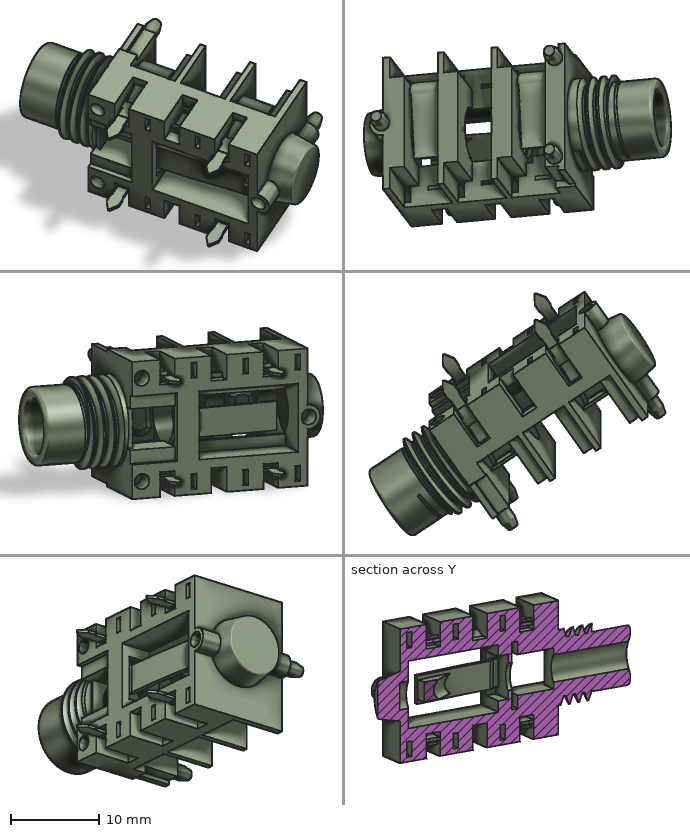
import cadquery as cq
import math


BLOCK_FRONT, BLOCK_REAR = 9.72, 31.05
HALF_DEPTH = 6.35
HALF_HEIGHT = 7.95
BORE_RADIUS = 3.17

BARREL_RADIUS = 4.5
RIM_OUTER_FILLET = 0.45
RIM_INNER_FILLET = 0.5
THREAD_RADIUS = 5.3
THREAD_START = 5.15
THREAD_PITCH = 1.25
THREAD_TURNS = 4.1
GROOVE_START = 3.92
GROOVE_ROOT_RADIUS = 4.45
GROOVE_ROOT_WIDTH = 0.27
GROOVE_MOUTH_RADIUS = THREAD_RADIUS + 0.15
GROOVE_MOUTH_WIDTH = THREAD_PITCH - 0.07

NOSE_REAR = 34.1
NOSE_ROOT_RADIUS, NOSE_TIP_RADIUS = 4.05, 3.55
NOSE_FILLET = 0.25

STATION_PITCH = 6.3
STATIONS = range(3)
GAP_START, GAP_WIDTH = 12.0, 3.95
GAP_FLOOR_Y = -0.1
RIB_STEP_WIDTH = 1.67
RIB_STEP_HALF_HEIGHT = 5.45
FRONT_STEP_Y = 1.65
FRONT_LIP_THICKNESS = 0.75
FRONT_LIP_HALF_HEIGHT = 7.65
FRONT_WALL_HALF_HEIGHT = 7.13

SLIT_START, SLIT_WIDTH = 16.9, 0.6
SLIT_LOW_Z, SLIT_HIGH_Z = 5.55, 7.33

SLOT_CENTRE = 13.98
SLOT_WIDTH = 1.77
MIDDLE_SLOT_WIDTH = 1.88
SLOT_FLOOR_Z = 5.05
SLOT_END_Y = -1.67
RIDGE_FRONT_Y, RIDGE_BACK_Y, RIDGE_FOOT_Y = -4.88, -4.65, -3.68
PLATE_LOW_Z, PLATE_HIGH_Z = 5.63, 6.07

WINDOW_HALF_HEIGHT = 3.95
FRONT_WINDOW_END = 15.2
FRONT_WINDOW_RECESS = 0.6
FRONT_OPENING_HALF_HEIGHT = 2.4
FRONT_WEB_END = 10.4
FRONT_WEB_OUTER_Y, FRONT_WEB_INNER_Y = -4.33, -4.67
REAR_WINDOW_START, REAR_WINDOW_END = 17.85, 29.95
REAR_WINDOW_FLOOR_Y = -2.4
REAR_OPENING_HALF_HEIGHT = 2.63
BAR_THICKNESS = 1.05

PEG_RADIUS, PEG_TIP_RADIUS = 0.9, 0.6
PEG_SHANK_LENGTH, PEG_LENGTH = 1.45, 2.5
FRONT_PEG_X, FRONT_PEG_Z = 10.88, 5.97
REAR_PEG_X = 31.2
BOSS_RADIUS = 1.4
SOCKET_DEPTH = PEG_LENGTH

PIN_LOW_Z, PIN_HIGH_Z = 5.65, 6.0
PIN_ROOT_Y, PIN_TIP_Y = -6.07, -9.75
TERMINAL_NECK_WIDTH = 1.3
PIN_WIDTH = 1.55
PIN_TIP_WIDTH = 0.2
PIN_WAIST_Y, PIN_BULGE_Y, PIN_POINT_Y = -7.45, -7.77, -8.73
TANG_ROOT_Y, TANG_END_Y = -3.82, SLOT_END_Y
TANG_RISE = 0.85
TANG_THICKNESS = 0.27

SPRING_HEAD_WIDTH, SPRING_LEG_WIDTH = GAP_WIDTH - 0.07, 3.58
SPRING_THICKNESS = 0.3
SPRING_SHOULDER_Y = 2.0
SPRING_BEND_RADIUS = 1.98
SPRING_LEG_TOP_Y = SPRING_SHOULDER_Y + SPRING_BEND_RADIUS
SPRING_LEG_TOP_Z = PLATE_HIGH_Z - SPRING_BEND_RADIUS
SPRING_END_Y, SPRING_END_Z = 2.65, -3.2
BUMP_HEIGHT = 0.55
BUMP_Z = -0.4
BUMP_BASE_WIDTH, BUMP_BASE_SIDE, BUMP_BASE_RISE = SPRING_LEG_WIDTH, 3.25, 0.92
BUMP_TOP_WIDTH, BUMP_TOP_SIDE, BUMP_TOP_RISE = 1.65, 2.55, 0.3

LEAF_HALF_HEIGHT = 1.67
LEAF_THICKNESS = 0.55
LEAF_ROOT_X, LEAF_FOLD_X, LEAF_END_X = 16.55, 21.72, 28.1
LEAF_SEAT_LENGTH = 0.68
LEAF_NECK_Y, LEAF_FOLD_Y, LEAF_END_Y = -4.9, -4.77, -4.3
LOBE_HALF_HEIGHT = 1.2
LOBE_START_X, LOBE_CREST_X, LOBE_CREST_Y = 23.2, 27.62, -1.7
LOBE_HOLLOW = 0.35


def box(x_range, y_range, z_range):
    """Axis-aligned block between the given limits."""
    (x0, x1), (y0, y1), (z0, z1) = x_range, y_range, z_range
    return cq.Workplane("XY").box(x1 - x0, y1 - y0, z1 - z0, centered=False).translate((x0, y0, z0))


def slab(x_range, y_range, half_height):
    """Block that is symmetric about z = 0."""
    return box(x_range, y_range, (-half_height, half_height))


def x_cylinder(radius, start, end):
    return cq.Workplane("YZ").workplane(offset=start).circle(radius).extrude(end - start)


def both_heights(shape):
    """The shape together with its mirror image across z = 0."""
    return shape.union(shape.mirror("XY"))


def station_x(first, index):
    return first + index * STATION_PITCH


def thread_groove():
    helix = cq.Wire.makeHelix(THREAD_PITCH, THREAD_PITCH * THREAD_TURNS, GROOVE_ROOT_RADIUS)
    root, mouth = GROOVE_ROOT_WIDTH / 2, GROOVE_MOUTH_WIDTH / 2
    groove = (
        cq.Workplane("XZ")
        .polyline([
            (GROOVE_ROOT_RADIUS, -root),
            (GROOVE_MOUTH_RADIUS, -mouth),
            (GROOVE_MOUTH_RADIUS, mouth),
            (GROOVE_ROOT_RADIUS, root),
        ])
        .close()
        .sweep(cq.Workplane(helix), isFrenet=True)
    )
    return groove.rotate((0, 0, 0), (0, 1, 0), 90).translate((GROOVE_START, 0, 0))


def threaded_barrel():
    barrel = x_cylinder(BARREL_RADIUS, 0, BLOCK_FRONT).faces("<X").edges().fillet(RIM_OUTER_FILLET)
    sleeve = x_cylinder(THREAD_RADIUS, THREAD_START, BLOCK_FRONT)
    return barrel.union(sleeve).cut(thread_groove())


def bore():
    """Plug bore with a rounded mouth."""
    mouth = BORE_RADIUS + RIM_INNER_FILLET
    middle = RIM_INNER_FILLET * (1 - math.sqrt(0.5))
    profile = (
        cq.Workplane("XY")
        .lineTo(0, mouth)
        .threePointArc((middle, BORE_RADIUS + middle), (RIM_INNER_FILLET, BORE_RADIUS))
        .lineTo(BLOCK_REAR, BORE_RADIUS)
        .lineTo(BLOCK_REAR, 0)
        .close()
    )
    return profile.revolve(360, (0, 0, 0), (1, 0, 0))


def nose():
    cone = (
        cq.Workplane("YZ")
        .workplane(offset=BLOCK_REAR)
        .circle(NOSE_ROOT_RADIUS)
        .workplane(offset=NOSE_REAR - BLOCK_REAR)
        .circle(NOSE_TIP_RADIUS)
        .loft()
    )
    return cone.faces(">X").edges().fillet(NOSE_FILLET)


def rib_cuts():
    """Gaps across the +Y half, and the lowered steps of the ribs and the front wall."""
    y_range = (GAP_FLOOR_Y, HALF_DEPTH)
    cuts = cq.Workplane()
    for i in STATIONS:
        gap_start = station_x(GAP_START, i)
        gap_end = gap_start + GAP_WIDTH
        cuts = cuts.add(slab((gap_start, gap_end), y_range, HALF_HEIGHT))
        step = box((gap_end, gap_end + RIB_STEP_WIDTH), y_range, (RIB_STEP_HALF_HEIGHT, HALF_HEIGHT))
        cuts = cuts.add(both_heights(step))
    lip_end = BLOCK_FRONT + FRONT_LIP_THICKNESS
    front_y = (FRONT_STEP_Y, HALF_DEPTH)
    lip = box((BLOCK_FRONT, lip_end), front_y, (FRONT_LIP_HALF_HEIGHT, HALF_HEIGHT))
    wall = box((lip_end, GAP_START), front_y, (FRONT_WALL_HALF_HEIGHT, HALF_HEIGHT))
    return cuts.add(both_heights(lip)).add(both_heights(wall))


def slits():
    cuts = cq.Workplane()
    for i in STATIONS:
        start = station_x(SLIT_START, i)
        slit = box((start, start + SLIT_WIDTH), (-HALF_DEPTH, HALF_DEPTH), (SLIT_LOW_Z, SLIT_HIGH_Z))
        cuts = cuts.add(both_heights(slit))
    return cuts


def terminal_slot(centre, width):
    """Open slot with a ridge on its floor, and a slit for the terminal plate leading to the gap."""
    slot_profile = [
        (-HALF_DEPTH, HALF_HEIGHT),
        (-HALF_DEPTH, SLOT_FLOOR_Z),
        (RIDGE_FRONT_Y, SLOT_FLOOR_Z),
        (RIDGE_FRONT_Y, PLATE_LOW_Z),
        (RIDGE_BACK_Y, PLATE_LOW_Z),
        (RIDGE_FOOT_Y, SLOT_FLOOR_Z),
        (SLOT_END_Y, SLOT_FLOOR_Z),
        (SLOT_END_Y, HALF_HEIGHT),
    ]
    x_range = (centre - width / 2, centre + width / 2)
    slot = (
        cq.Workplane("YZ")
        .workplane(offset=x_range[0])
        .polyline(slot_profile)
        .close()
        .extrude(width)
    )
    plate_slit = box(x_range, (SLOT_END_Y, GAP_FLOOR_Y), (PLATE_LOW_Z, PLATE_HIGH_Z))
    return both_heights(slot.union(plate_slit))


def slots():
    cuts = cq.Workplane()
    for i, width in zip(STATIONS, (SLOT_WIDTH, MIDDLE_SLOT_WIDTH, SLOT_WIDTH)):
        cuts = cuts.add(terminal_slot(station_x(SLOT_CENTRE, i), width))
    return cuts


def front_window():
    recess_floor = -HALF_DEPTH + FRONT_WINDOW_RECESS
    recess = slab((BLOCK_FRONT, FRONT_WINDOW_END), (-HALF_DEPTH, recess_floor), WINDOW_HALF_HEIGHT)
    opening = (
        cq.Workplane("XY")
        .polyline([
            (BLOCK_FRONT, recess_floor),
            (BLOCK_FRONT, FRONT_WEB_OUTER_Y),
            (FRONT_WEB_END, FRONT_WEB_INNER_Y),
            (FRONT_WEB_END, 0),
            (FRONT_WINDOW_END, 0),
            (FRONT_WINDOW_END, recess_floor),
        ])
        .close()
        .extrude(FRONT_OPENING_HALF_HEIGHT, both=True)
    )
    under_bar = slab(
        (FRONT_WINDOW_END, GAP_START + GAP_WIDTH), (-HALF_DEPTH + BAR_THICKNESS, 0), WINDOW_HALF_HEIGHT
    )
    return recess.union(opening).union(under_bar)


def rear_window():
    """Deep window with a narrower opening into the bore that runs on under the middle bar."""
    x_range = (REAR_WINDOW_START, REAR_WINDOW_END)
    window = slab(x_range, (-HALF_DEPTH, REAR_WINDOW_FLOOR_Y), WINDOW_HALF_HEIGHT)
    opening = slab(x_range, (REAR_WINDOW_FLOOR_Y, 0), REAR_OPENING_HALF_HEIGHT)
    under_bar = slab(
        (LEAF_ROOT_X, REAR_WINDOW_START), (-HALF_DEPTH + BAR_THICKNESS, 0), REAR_OPENING_HALF_HEIGHT
    )
    return window.union(opening).union(under_bar)


PEG_POSITIONS = [(FRONT_PEG_X, FRONT_PEG_Z), (FRONT_PEG_X, -FRONT_PEG_Z), (REAR_PEG_X, 0)]


def sockets():
    """Blind holes in the -Y face, one opposite each peg."""
    front_plane = cq.Workplane("XZ", origin=(0, -HALF_DEPTH, 0))
    return front_plane.pushPoints(PEG_POSITIONS).circle(PEG_RADIUS).extrude(-SOCKET_DEPTH)


def rear_boss():
    return cq.Workplane("XZ").center(REAR_PEG_X, 0).circle(BOSS_RADIUS).extrude(HALF_DEPTH, both=True)


def make_housing():
    block = slab((BLOCK_FRONT, BLOCK_REAR), (-HALF_DEPTH, HALF_DEPTH), HALF_HEIGHT)
    body = block.union(threaded_barrel()).union(nose()).union(rear_boss()).cut(bore())
    for cuts in (rib_cuts(), slits(), slots()):
        for cut in cuts.vals():
            body = body.cut(cq.Workplane(cut))
    return body.cut(front_window()).cut(rear_window()).cut(sockets())


def make_peg(x, z):
    peg = cq.Workplane("XZ", origin=(x, HALF_DEPTH, z)).circle(PEG_RADIUS).extrude(-PEG_SHANK_LENGTH)
    return (
        peg.faces(">Y")
        .workplane()
        .circle(PEG_RADIUS)
        .workplane(offset=PEG_LENGTH - PEG_SHANK_LENGTH)
        .circle(PEG_TIP_RADIUS)
        .loft()
    )


def terminal_plate():
    """Plate through the slot with a pointed pin and a raised retaining tang."""
    half_plate, half_neck = SLOT_WIDTH / 2, TERMINAL_NECK_WIDTH / 2
    plate_z, plate_thickness = PLATE_LOW_Z, PLATE_HIGH_Z - PLATE_LOW_Z
    plate = slab((-half_plate, half_plate), (RIDGE_FRONT_Y, GAP_FLOOR_Y), plate_thickness / 2)
    neck = slab((-half_neck, half_neck), (PIN_ROOT_Y, RIDGE_FRONT_Y), plate_thickness / 2)
    plate = plate.union(neck).translate((0, 0, plate_z + plate_thickness / 2))

    pin_side = [
        (half_neck, PIN_ROOT_Y),
        (half_neck, PIN_WAIST_Y),
        (PIN_WIDTH / 2, PIN_BULGE_Y),
        (PIN_WIDTH / 2, PIN_POINT_Y),
        (PIN_TIP_WIDTH / 2, PIN_TIP_Y),
    ]
    pin_outline = pin_side + [(-x, y) for x, y in reversed(pin_side)]
    pin = (
        cq.Workplane("XY", origin=(0, 0, PIN_LOW_Z))
        .polyline(pin_outline)
        .close()
        .extrude(PIN_HIGH_Z - PIN_LOW_Z)
    )

    tang = (
        cq.Workplane("YZ", origin=(-half_neck, 0, 0))
        .polyline([
            (TANG_ROOT_Y, PLATE_LOW_Z),
            (TANG_ROOT_Y, PLATE_HIGH_Z),
            (TANG_END_Y, PLATE_HIGH_Z + TANG_RISE),
            (TANG_END_Y, PLATE_HIGH_Z + TANG_RISE - TANG_THICKNESS),
        ])
        .close()
        .extrude(TERMINAL_NECK_WIDTH)
    )
    return plate.union(pin).union(tang)


def bump_outline(width, side, rise):
    """Straight sides along Z joined by shallow arcs at both ends."""
    x, z = width / 2, side / 2
    return (
        cq.Workplane("XZ")
        .moveTo(-x, -z)
        .threePointArc((0, -z - rise), (x, -z))
        .lineTo(x, z)
        .threePointArc((0, z + rise), (-x, z))
        .close()
        .wires()
        .val()
    )


def contact_bump():
    """Raised pad on the spring leg, tapering towards the plug axis."""
    base = bump_outline(BUMP_BASE_WIDTH, BUMP_BASE_SIDE, BUMP_BASE_RISE)
    top = bump_outline(BUMP_TOP_WIDTH, BUMP_TOP_SIDE, BUMP_TOP_RISE)
    return cq.Solid.makeLoft([base, top.translate(cq.Vector(0, -BUMP_HEIGHT, 0))], True)


def spring_head():
    """Side shape of the strip from the slot and round the quarter bend."""
    inner_radius = SPRING_BEND_RADIUS - SPRING_THICKNESS
    slant = math.sqrt(0.5)
    return (
        cq.Workplane("YZ")
        .moveTo(GAP_FLOOR_Y, PLATE_HIGH_Z)
        .lineTo(SPRING_SHOULDER_Y, PLATE_HIGH_Z)
        .threePointArc(
            (SPRING_SHOULDER_Y + SPRING_BEND_RADIUS * slant, SPRING_LEG_TOP_Z + SPRING_BEND_RADIUS * slant),
            (SPRING_LEG_TOP_Y, SPRING_LEG_TOP_Z),
        )
        .lineTo(SPRING_LEG_TOP_Y - SPRING_THICKNESS, SPRING_LEG_TOP_Z)
        .threePointArc(
            (SPRING_SHOULDER_Y + inner_radius * slant, SPRING_LEG_TOP_Z + inner_radius * slant),
            (SPRING_SHOULDER_Y, PLATE_HIGH_Z - SPRING_THICKNESS),
        )
        .lineTo(GAP_FLOOR_Y, PLATE_HIGH_Z - SPRING_THICKNESS)
        .close()
    )


def spring_leg():
    """Side shape of the straight leg, which leans towards the plug axis."""
    return (
        cq.Workplane("YZ")
        .moveTo(SPRING_LEG_TOP_Y, SPRING_LEG_TOP_Z)
        .lineTo(SPRING_END_Y, SPRING_END_Z)
        .lineTo(SPRING_END_Y - SPRING_THICKNESS, SPRING_END_Z)
        .lineTo(SPRING_LEG_TOP_Y - SPRING_THICKNESS, SPRING_LEG_TOP_Z)
        .close()
    )


def contact_spring():
    """Strip that leaves the slot, bends over and runs down beside the bore to its bump."""
    head = spring_head().extrude(SPRING_HEAD_WIDTH / 2, both=True)
    leg = spring_leg().extrude(SPRING_LEG_WIDTH / 2, both=True)
    leg_slope = (SPRING_LEG_TOP_Y - SPRING_END_Y) / (SPRING_LEG_TOP_Z - SPRING_END_Z)
    bump_y = SPRING_END_Y + leg_slope * (BUMP_Z - SPRING_END_Z) - SPRING_THICKNESS / 2
    bump = (
        cq.Workplane(contact_bump())
        .rotate((0, 0, 0), (1, 0, 0), -math.degrees(math.atan(leg_slope)))
        .translate((0, bump_y, BUMP_Z))
    )
    return head.union(leg).union(bump)


def make_terminal(centre, has_spring):
    body = terminal_plate()
    if has_spring:
        body = body.union(contact_spring())
    return body.translate((centre, 0, 0))


def make_terminals():
    """Terminals at the first and last stations; the upper ones carry the contact springs."""
    terminals = []
    for i in (STATIONS[0], STATIONS[-1]):
        centre = station_x(SLOT_CENTRE, i)
        terminals.append(make_terminal(centre, True))
        terminals.append(make_terminal(centre, False).mirror("XY"))
    return terminals


def make_leaf():
    """Folded leaf under the middle bar, with a narrower hollowed lobe reaching into the bore."""
    bar_y = -HALF_DEPTH + BAR_THICKNESS
    outer = [
        (LEAF_ROOT_X, bar_y),
        (LEAF_ROOT_X + LEAF_SEAT_LENGTH, bar_y),
        (REAR_WINDOW_START, LEAF_NECK_Y),
        (LEAF_FOLD_X, LEAF_FOLD_Y),
        (LEAF_END_X, LEAF_END_Y),
    ]
    inner = [(x, y + LEAF_THICKNESS) for x, y in outer]
    strip = cq.Workplane("XY").polyline(outer + inner[::-1]).close().extrude(LEAF_HALF_HEIGHT, both=True)

    lobe_root = (LOBE_START_X, LEAF_FOLD_Y + LEAF_THICKNESS)
    lobe = (
        cq.Workplane("XY")
        .polyline([lobe_root, (LOBE_CREST_X, LOBE_CREST_Y), (LEAF_END_X, LEAF_END_Y)])
        .close()
        .extrude(LOBE_HALF_HEIGHT, both=True)
    )
    hollow_radius = (LOBE_HALF_HEIGHT**2 + LOBE_HOLLOW**2) / (2 * LOBE_HOLLOW)
    run, rise = LOBE_CREST_X - lobe_root[0], LOBE_CREST_Y - lobe_root[1]
    hollow = (
        x_cylinder(hollow_radius, -2 * run, run)
        .translate((0, hollow_radius - LOBE_HOLLOW, 0))
        .rotate((0, 0, 0), (0, 0, 1), math.degrees(math.atan2(rise, run)))
        .translate((LOBE_CREST_X, LOBE_CREST_Y, 0))
    )
    lobe = lobe.cut(hollow)
    return strip.union(lobe)


housing = make_housing()
pegs = [make_peg(x, z) for x, z in PEG_POSITIONS]
terminals = make_terminals()
leaf = make_leaf()

result = cq.Compound.makeCompound([
    housing.solids().val(),
    *[peg.solids().val() for peg in pegs],
    *[body.solids().val() for body in terminals],
    leaf.solids().val(),
])